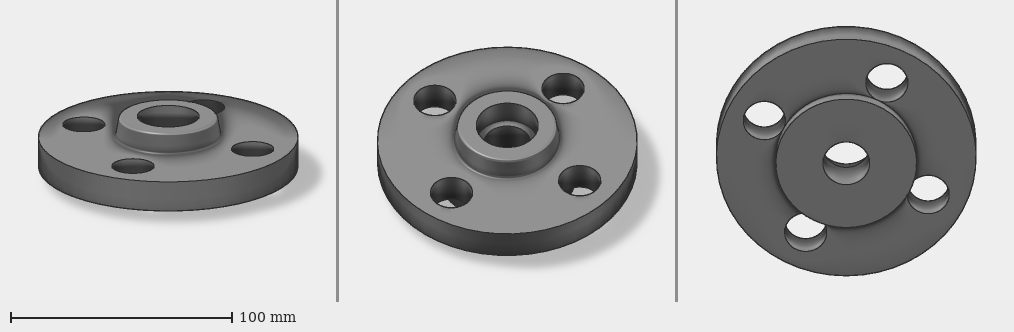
import cadquery as cq
import math


flange_diameter = 117.3
flange_thickness = 14.1
face_diameter = 63.6
face_height = 6.3

hub_base_diameter = 47.9
hub_height = 9.9
hub_taper_degrees = 10.0
hub_blend_radius = 1.5

socket_diameter = 27.9
socket_depth = 11.4
bore_diameter = 21.1

bolt_hole_diameter = 19.0
bolt_circle_diameter = 82.6
bolt_hole_count = 4

flange_top = face_height + flange_thickness
hub_top = flange_top + hub_height
hub_base_radius = hub_base_diameter / 2
hub_top_radius = hub_base_radius - hub_height * math.tan(math.radians(hub_taper_degrees))


def make_blank():
    """Revolve the solid face, plate and hub, then round the foot and the rim of the hub."""
    profile = [
        (0, 0),
        (face_diameter / 2, 0),
        (face_diameter / 2, face_height),
        (flange_diameter / 2, face_height),
        (flange_diameter / 2, flange_top),
        (hub_base_radius, flange_top),
        (hub_top_radius, hub_top),
        (0, hub_top),
    ]
    blank = cq.Workplane("XZ").polyline(profile).close().revolve(360, (0, 0, 0), (0, 1, 0))
    hub_edges = blank.faces("%CONE").edges("%CIRCLE")
    return hub_edges.fillet(hub_blend_radius)


def cut_bore(body):
    """Cut the pipe socket from the hub end and the smaller bore through the rest."""
    drilling = body.faces(">Z").workplane(origin=(0, 0, hub_top))
    return drilling.cboreHole(bore_diameter, socket_diameter, socket_depth)


def cut_bolt_holes(body):
    """Drill the ring of bolt holes through the plate."""
    drills = (
        cq.Workplane("XY", origin=(0, 0, face_height))
        .polarArray(bolt_circle_diameter / 2, 0, 360, bolt_hole_count)
        .circle(bolt_hole_diameter / 2)
        .extrude(flange_thickness)
    )
    return body.cut(drills)


result = cut_bolt_holes(cut_bore(make_blank()))